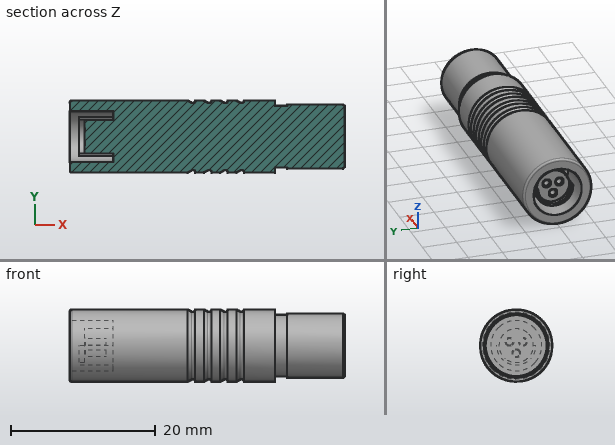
import cadquery as cq
import math

total_length = 38.0
body_diameter = 10.0
body_radius = body_diameter / 2
body_length = 28.4
socket_edge_radius = 0.3

neck_radius = 4.3
spigot_start = 30.02
spigot_radius = 4.45
spigot_edge_chamfer = 0.23

groove_count = 4
first_groove_start = 16.3
groove_pitch = 2.25
groove_width = 1.03
ramp_length = 0.5
ramp_depth = 0.25
groove_depth = 0.35

bore_radius = 3.5
bore_depth = 6.0
insert_radius = 2.35
insert_front = 2.0
key_radius = 2.7
key_front = 1.3

contact_count = 3
contact_circle_radius = 1.05
first_contact_angle = -90.0
contact_mouth_radius = 0.6
contact_hole_radius = 0.45
contact_hole_depth = 3.0


def cylinder(start, end, radius):
    """Solid cylinder along X from start to end."""
    return cq.Workplane("YZ", origin=(start, 0, 0)).circle(radius).extrude(end - start)


def make_shell():
    """Body, neck and spigot, with their edges broken."""
    body = cylinder(0, body_length, body_radius).faces("<X").edges().fillet(socket_edge_radius)
    neck = cylinder(body_length, spigot_start, neck_radius)
    spigot = cylinder(spigot_start, total_length, spigot_radius)
    spigot = spigot.faces(">X").edges().chamfer(spigot_edge_chamfer)
    return body.union(neck).union(spigot)


def make_groove(start):
    """Ring cutter: straight ramp down, then an arc back up to the body surface."""
    ramp_end = start + ramp_length
    end = start + groove_width
    bottom = ((ramp_end + end) / 2, body_radius - groove_depth)
    clear_radius = body_radius + groove_depth
    profile = (
        cq.Workplane("XY")
        .moveTo(start, body_radius)
        .lineTo(ramp_end, body_radius - ramp_depth)
        .threePointArc(bottom, (end, body_radius))
        .lineTo(end, clear_radius)
        .lineTo(start, clear_radius)
        .close()
    )
    return profile.revolve(360, (0, 0, 0), (1, 0, 0))


def make_insert():
    """Round contact insert with a half-ring key around its lower side."""
    insert = cylinder(insert_front, bore_depth, insert_radius)
    key = (
        cq.Workplane("YZ", origin=(key_front, 0, 0))
        .moveTo(-key_radius, 0)
        .threePointArc((0, -key_radius), (key_radius, 0))
        .lineTo(insert_radius, 0)
        .threePointArc((0, -insert_radius), (-insert_radius, 0))
        .close()
        .extrude(bore_depth - key_front)
    )
    return insert.union(key)


def make_contact_hole(angle):
    """Blind hole cutter with a 45 degree countersunk mouth, placed on the contact circle."""
    y = contact_circle_radius * math.cos(math.radians(angle))
    z = contact_circle_radius * math.sin(math.radians(angle))
    hole = cylinder(insert_front, insert_front + contact_hole_depth, contact_hole_radius)
    countersink_depth = contact_mouth_radius - contact_hole_radius
    mouth = cq.Workplane(
        cq.Solid.makeCone(
            contact_mouth_radius,
            contact_hole_radius,
            countersink_depth,
            pnt=cq.Vector(insert_front, 0, 0),
            dir=cq.Vector(1, 0, 0),
        )
    )
    return hole.union(mouth).translate((0, y, z))


result = make_shell().cut(cylinder(0, bore_depth, bore_radius))

for index in range(groove_count):
    result = result.cut(make_groove(first_groove_start + index * groove_pitch))

result = result.union(make_insert())

for index in range(contact_count):
    result = result.cut(make_contact_hole(first_contact_angle + index * 360 / contact_count))